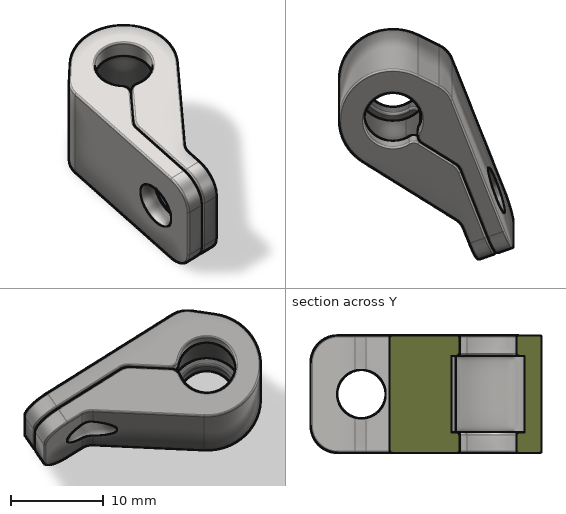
import cadquery as cq
import math


length = 24.95
height = 12.7

barrel_radius = 5.85
bore_radius = 3.1
relief_radius = 3.95
lip_thickness = 2.25

base_y = -6.8
arm_thickness = 2.0
slit_width = 0.1
slope_angle = 36.0
slit_offset = 0.55
bolt_radius = 2.6
bolt_to_end = 5.5

heel_radius = 3.0
arm_corner_radius = 3.0
arm_root_radius = 2.0
slit_bend_upper_radius = 2.0
slit_bend_lower_radius = 1.5
slit_mouth_radius = 1.0
edge_radius = 0.2
lip_edge_radius = 0.3

end_x = length - barrel_radius
slit_y = base_y + arm_thickness + slit_width / 2
arm_top_y = base_y + 2 * arm_thickness + slit_width
slope = math.radians(slope_angle)
heel_center_y = base_y + heel_radius
heel_angle = math.pi + math.asin((barrel_radius - heel_radius) / -heel_center_y)


def polar(radius, angle, center_y=0.0):
    """Point on a circle centred on the Y axis, at an angle in radians."""
    return (radius * math.cos(angle), center_y + radius * math.sin(angle))


def slope_point(offset, y):
    """Point at height y on the sloping line lying at the given distance from the barrel axis."""
    return ((offset - y * math.cos(slope)) / math.sin(slope), y)


def mouth_point(offset):
    """Point where the sloping line at the given distance from the barrel axis leaves the bore."""
    return polar(bore_radius, math.asin(offset / bore_radius) - slope)


def round_upright_edge(body, point, radius):
    """Round the upright edge that stands at the given XY point."""
    nearest = cq.selectors.NearestToPointSelector((point[0], point[1], 0))
    return body.edges("|Z").edges(nearest).fillet(radius)


def make_blank():
    """Barrel and closed arms, extruded over the full height."""
    flank_angle = math.pi / 2 - slope
    root = slope_point(barrel_radius, arm_top_y)
    blank = (
        cq.Workplane("XY", origin=(0, 0, -height / 2))
        .moveTo(0, base_y)
        .lineTo(end_x, base_y)
        .lineTo(end_x, arm_top_y)
        .lineTo(*root)
        .lineTo(*polar(barrel_radius, flank_angle))
        .threePointArc(
            polar(barrel_radius, (flank_angle + heel_angle) / 2),
            polar(barrel_radius, heel_angle),
        )
        .lineTo(*polar(heel_radius, heel_angle, heel_center_y))
        .threePointArc(
            polar(heel_radius, (heel_angle + 1.5 * math.pi) / 2, heel_center_y),
            (0, base_y),
        )
        .close()
        .extrude(height)
    )
    return round_upright_edge(blank, root, arm_root_radius)


def cut_bore_and_slit(body):
    """Bore the barrel and split the part from the bore to the arm ends."""
    upper_offset = slit_offset + slit_width / 2
    lower_offset = slit_offset - slit_width / 2
    upper_y = slit_y + slit_width / 2
    lower_y = slit_y - slit_width / 2
    upper_bend = slope_point(upper_offset, upper_y)
    lower_bend = slope_point(lower_offset, lower_y)

    bore = cq.Workplane("XY").circle(bore_radius).extrude(height / 2, both=True)
    slit = (
        cq.Workplane("XY")
        .polyline([
            slope_point(upper_offset, 0),
            upper_bend,
            (end_x, upper_y),
            (end_x, lower_y),
            lower_bend,
            slope_point(lower_offset, 0),
        ])
        .close()
        .extrude(height / 2, both=True)
    )
    body = body.cut(bore).cut(slit)
    body = round_upright_edge(body, upper_bend, slit_bend_upper_radius)
    body = round_upright_edge(body, lower_bend, slit_bend_lower_radius)
    for offset in (upper_offset, lower_offset):
        body = round_upright_edge(body, mouth_point(offset), slit_mouth_radius)
    return body


def round_arm_corners(body):
    """Round the upper and lower corners of both arm ends."""
    return body.faces(">X").edges("|Y").fillet(arm_corner_radius)


def round_end_edges(body):
    """Round the edges of both end faces and carry them around the arm ends."""
    corner_zone = cq.selectors.BoxSelector(
        (end_x - arm_corner_radius, base_y - edge_radius, -height),
        (end_x + edge_radius, arm_top_y + edge_radius, height),
    )
    arm_end_edges = body.edges(corner_zone).edges("not(|Y)")
    edges = body.faces("|Z").edges("not(|Y)").add(arm_end_edges)
    return edges.fillet(edge_radius)


def cut_bore_relief(body):
    """Widen the bore between its two end lips and round the inner edges of the lips."""
    lip_z = height / 2 - lip_thickness
    relief = cq.Workplane("XY").circle(relief_radius).extrude(lip_z, both=True)
    body = body.cut(relief)
    for z in (lip_z, -lip_z):
        lip_face = body.faces(cq.selectors.NearestToPointSelector((0, 0, z)))
        lip_edges = lip_face.edges().filter(
            lambda edge: edge.geomType() != "CIRCLE" or edge.radius() <= bore_radius + edge_radius
        )
        body = lip_edges.fillet(lip_edge_radius)
    return body


def drill_bolt_hole(body):
    """Drill the bolt hole through both arms and the foot of the sloping flank."""
    hole = (
        cq.Workplane("XZ", origin=(end_x - bolt_to_end, barrel_radius, 0))
        .circle(bolt_radius)
        .extrude(barrel_radius - base_y)
    )
    return body.cut(hole)


result = make_blank()
result = cut_bore_and_slit(result)
result = round_arm_corners(result)
result = round_end_edges(result)
result = cut_bore_relief(result)
result = drill_bolt_hole(result)